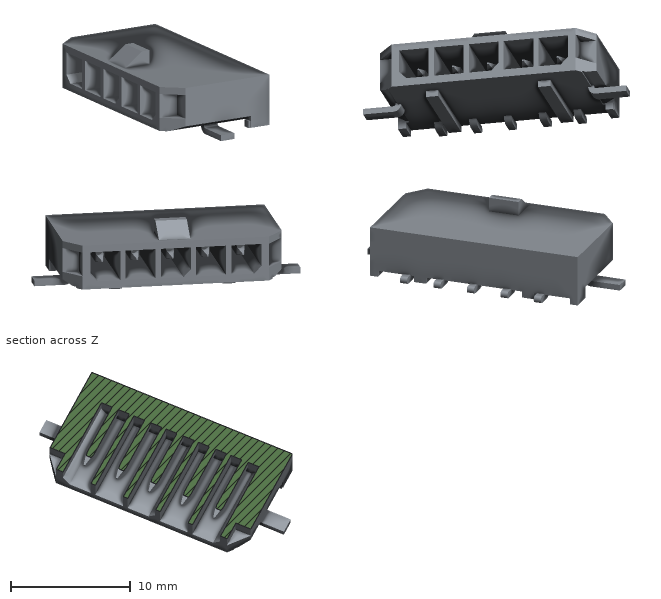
import cadquery as cq
import math

PITCH = 3.0
CONTACT_COUNT = 5
BODY_LENGTH = 18.62
BODY_DEPTH = 9.88
BODY_BOTTOM = 0.63
BODY_TOP = 4.45
HALF_LENGTH = BODY_LENGTH / 2

CORNER_X = 1.38
CORNER_Y = 1.7
POCKET_BOTTOM = 1.78
POCKET_TOP = 3.84

RELIEF_SLOPE_WIDTH = 0.7
RELIEF_FLAT_WIDTH = 0.28
RELIEF_OUTER_Z = 1.12
RELIEF_INNER_Z = 0.75
FOOT_BOTTOM = 0.09
FOOT_FRONT_Y = 8.05

STEP_WIDTH = 0.63
STEP_TOP = 0.69
STEP_DEPTH = 0.2

RIB_X = 4.83
RIB_WIDTH = 1.07
RIB_FRONT_Y = 1.61

CAVITY_SIZE = 2.55
CAVITY_BOTTOM = 1.29
CAVITY_DEPTH = 7.5
CAVITY_CHAMFER = 0.63

PIN_SIZE = 0.64
PIN_CENTRE_Z = 2.6
PIN_ROOT_HEIGHT = 0.86
PIN_RAMP_LENGTH = 0.22
PIN_TIP_Y = 1.5
PIN_TAPER = 1.15
PIN_POINT_SIZE = 0.13
PIN_EMBED = 0.5
TAIL_THICKNESS = 0.6
TAIL_BOTTOM = 0.09
TAIL_END_Y = 10.7
TAIL_END_RADIUS = 0.29
TAIL_BEND_Y = 8.5
TAIL_BEND_RADIUS = 0.8
TAIL_LEG_TOP = 1.5

LATCH_WIDTH = 2.67
LATCH_TOP = 5.67
LATCH_BACK_Y = 2.94
LATCH_CREST_Y = 2.22
LATCH_FRONT_Y = 0.55

TAB_SPAN = 22.64
TAB_THICKNESS = 0.5
TAB_FRONT_Y = 3.95
TAB_WIDTH = 1.33
TAB_BEND_X = 8.7
TAB_INNER_RADIUS = 0.15
TAB_LEG_TOP = 1.2


def box(x_min, x_max, y_min, y_max, z_min, z_max):
    """Axis-aligned box between the given limits."""
    size = (x_max - x_min, y_max - y_min, z_max - z_min)
    return cq.Workplane("XY").box(*size, centered=False).translate((x_min, y_min, z_min))


def both_ends(shape):
    """The shape together with its mirror image across the YZ plane."""
    return shape.union(shape.mirror("YZ"))


def extrude_along_y(profile, y_min, y_max):
    """Extrude a closed XZ profile from y_min to y_max."""
    return profile.extrude(-(y_max - y_min)).translate((0, y_min, 0))


def extrude_across_x(profile, width):
    """Extrude a closed YZ profile symmetrically about x = 0."""
    return profile.extrude(width / 2, both=True)


def make_housing():
    outline = [
        (-HALF_LENGTH, BODY_DEPTH),
        (-HALF_LENGTH, CORNER_Y),
        (-HALF_LENGTH + CORNER_X, 0),
        (HALF_LENGTH - CORNER_X, 0),
        (HALF_LENGTH, CORNER_Y),
        (HALF_LENGTH, BODY_DEPTH),
    ]
    body = cq.Workplane("XY").polyline(outline).close().extrude(BODY_TOP - BODY_BOTTOM)
    return body.translate((0, 0, BODY_BOTTOM))


def make_corner_pockets():
    pocket = box(HALF_LENGTH - CORNER_X, HALF_LENGTH, 0, CORNER_Y, POCKET_BOTTOM, POCKET_TOP)
    return both_ends(pocket)


def make_end_reliefs():
    slope_x = HALF_LENGTH - RELIEF_SLOPE_WIDTH
    inner_x = slope_x - RELIEF_FLAT_WIDTH
    profile = cq.Workplane("XZ").polyline([
        (inner_x, BODY_BOTTOM),
        (inner_x, RELIEF_INNER_Z),
        (slope_x, RELIEF_INNER_Z),
        (HALF_LENGTH, RELIEF_OUTER_Z),
        (HALF_LENGTH, BODY_BOTTOM),
    ]).close()
    return both_ends(extrude_along_y(profile, 0, FOOT_FRONT_Y))


def make_feet():
    inner_x = HALF_LENGTH - RELIEF_SLOPE_WIDTH
    feet = both_ends(box(inner_x, HALF_LENGTH, FOOT_FRONT_Y, BODY_DEPTH, FOOT_BOTTOM, BODY_BOTTOM))
    step = box(inner_x, inner_x + STEP_WIDTH, FOOT_FRONT_Y - STEP_DEPTH, FOOT_FRONT_Y,
               FOOT_BOTTOM, STEP_TOP)
    return feet.union(step)


def make_ribs():
    inner_x = RIB_X - RIB_WIDTH / 2
    outer_x = RIB_X + RIB_WIDTH / 2
    return both_ends(box(inner_x, outer_x, RIB_FRONT_Y, BODY_DEPTH, FOOT_BOTTOM, BODY_BOTTOM))


def make_latch():
    profile = cq.Workplane("YZ").polyline([
        (LATCH_BACK_Y, BODY_TOP),
        (LATCH_BACK_Y, LATCH_TOP),
        (LATCH_CREST_Y, LATCH_TOP),
        (LATCH_FRONT_Y, BODY_TOP),
    ]).close()
    return extrude_across_x(profile, LATCH_WIDTH)


def make_cavity(keyed_edge):
    """Square cavity; keyed_edge picks the chamfered lower edge ("<X", ">X" or None)."""
    half = CAVITY_SIZE / 2
    cavity = box(-half, half, 0, CAVITY_DEPTH, CAVITY_BOTTOM, CAVITY_BOTTOM + CAVITY_SIZE)
    if keyed_edge is None:
        return cavity
    side = 1 if keyed_edge == ">X" else -1
    wedge = cq.Workplane("XZ").polyline([
        (side * half, CAVITY_BOTTOM),
        (side * half, CAVITY_BOTTOM + CAVITY_CHAMFER),
        (side * (half - CAVITY_CHAMFER), CAVITY_BOTTOM),
    ]).close()
    return cavity.cut(extrude_along_y(wedge, 0, CAVITY_DEPTH))


def make_pin():
    """Square pin with a blunt pyramid tip; its height swells on a ramp behind the tip."""
    square_y = PIN_TIP_Y + PIN_TAPER
    ramp_end_y = square_y + PIN_RAMP_LENGTH
    base_y = CAVITY_DEPTH + PIN_EMBED
    half = PIN_SIZE / 2
    root_half = PIN_ROOT_HEIGHT / 2
    shaft = extrude_across_x(
        cq.Workplane("YZ").polyline([
            (square_y, PIN_CENTRE_Z - half),
            (square_y, PIN_CENTRE_Z + half),
            (ramp_end_y, PIN_CENTRE_Z + root_half),
            (base_y, PIN_CENTRE_Z + root_half),
            (base_y, PIN_CENTRE_Z - root_half),
            (ramp_end_y, PIN_CENTRE_Z - root_half),
        ]).close(),
        PIN_SIZE,
    )
    tip = (
        cq.Workplane("XZ", origin=(0, square_y, PIN_CENTRE_Z))
        .rect(PIN_SIZE, PIN_SIZE)
        .workplane(offset=PIN_TAPER)
        .rect(PIN_POINT_SIZE, PIN_POINT_SIZE)
        .loft(ruled=True)
    )
    return shaft.union(tip)


def make_tail():
    tail_top = TAIL_BOTTOM + TAIL_THICKNESS
    profile = cq.Workplane("YZ").polyline([
        (TAIL_BEND_Y, TAIL_BOTTOM),
        (TAIL_END_Y, TAIL_BOTTOM),
        (TAIL_END_Y, tail_top),
        (TAIL_BEND_Y + TAIL_THICKNESS, tail_top),
        (TAIL_BEND_Y + TAIL_THICKNESS, TAIL_LEG_TOP),
        (TAIL_BEND_Y, TAIL_LEG_TOP),
    ]).close()
    tail = extrude_across_x(profile, PIN_SIZE)
    tail = tail.faces(">Y").edges("|X").fillet(TAIL_END_RADIUS)
    return tail.faces("<Z").edges("<Y").fillet(TAIL_BEND_RADIUS)


def make_solder_tabs():
    outer_radius = TAB_INNER_RADIUS + TAB_THICKNESS
    diagonal = math.sqrt(0.5)
    outer_x = TAB_BEND_X - outer_radius
    inner_x = TAB_BEND_X - TAB_INNER_RADIUS
    profile = (
        cq.Workplane("XZ")
        .moveTo(TAB_SPAN / 2, 0)
        .lineTo(TAB_BEND_X, 0)
        .threePointArc((TAB_BEND_X - outer_radius * diagonal, outer_radius * (1 - diagonal)),
                       (outer_x, outer_radius))
        .lineTo(outer_x, TAB_LEG_TOP)
        .lineTo(inner_x, TAB_LEG_TOP)
        .lineTo(inner_x, outer_radius)
        .threePointArc((TAB_BEND_X - TAB_INNER_RADIUS * diagonal,
                        outer_radius - TAB_INNER_RADIUS * diagonal),
                       (TAB_BEND_X, TAB_THICKNESS))
        .lineTo(TAB_SPAN / 2, TAB_THICKNESS)
        .close()
    )
    return both_ends(extrude_along_y(profile, TAB_FRONT_Y, TAB_FRONT_Y + TAB_WIDTH))


def make_part():
    part = make_housing().cut(make_corner_pockets()).cut(make_end_reliefs())
    part = part.union(make_feet()).union(make_ribs()).union(make_latch())

    last = CONTACT_COUNT - 1
    keyed_edges = {0: "<X", last // 2: ">X", last: ">X"}
    pin = make_pin()
    tail = make_tail()
    for index in range(CONTACT_COUNT):
        x = (index - last / 2) * PITCH
        part = part.cut(make_cavity(keyed_edges.get(index)).translate((x, 0, 0)))
        part = part.union(pin.translate((x, 0, 0))).union(tail.translate((x, 0, 0)))
    return part.union(make_solder_tabs())


result = make_part()